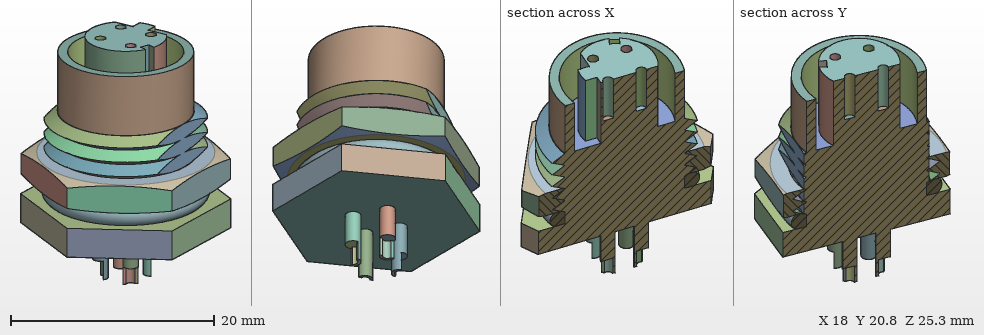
import cadquery as cq
import math

pin_shoulder_z = 1.97
flange_bottom_z = 5.31
flange_top_z = 8.37
nut_bottom_z = 10.05
nut_top_z = 13.03
thread_top_z = 17.43
sleeve_top_z = 23.68
insert_top_z = 25.3
cavity_floor_z = thread_top_z

hexagon_half_corner = 30
flange_across_flats = 18.0
nut_across_flats = 17.9
nut_chamfer_radius = 8.78
nut_chamfer_angle = math.radians(15)

sleeve_radius = 6.7
cavity_radius = 5.72
thread_crest_radius = 8.07
thread_pitch = 1.52
thread_ridges = 5
thread_flank_angle = math.radians(30)
thread_root_radius = thread_crest_radius - thread_pitch / 2 / math.tan(thread_flank_angle)
thread_flats_width = 13.48

seal_outer_radius = 8.32
seal_cord_radius = 0.99
seal_height = nut_bottom_z - flange_top_z
seal_inner_radius = sleeve_radius

insert_radius = 4.02
insert_flat_y = 2.6
key_width = 1.82
key_radius = 3.95
notch_width = 1.0
notch_floor_radius = 3.2
notch_angle = -20

contact_count = 4
contact_offset = 1.8
contact_hole_radius = 0.53
contact_hole_depth = 5.05
pin_radius = 0.78
cup_radius = 0.48
cup_wall_offset = 0.15


def cylinder(radius, bottom_z, top_z):
    return cq.Workplane("XY").workplane(offset=bottom_z).circle(radius).extrude(top_z - bottom_z)


def hexagon(across_flats, bottom_z, top_z):
    corner_diameter = across_flats / math.cos(math.radians(hexagon_half_corner))
    outline = cq.Workplane("XY").workplane(offset=bottom_z).polygon(6, corner_diameter)
    return outline.extrude(top_z - bottom_z).rotate((0, 0, 0), (0, 0, 1), hexagon_half_corner)


def thread_core():
    """Solid of revolution with the full, unflattened thread ridges."""
    bottom_z = thread_top_z - thread_ridges * thread_pitch
    profile = cq.Workplane("XZ").moveTo(0, thread_top_z).lineTo(thread_root_radius, thread_top_z)
    for ridge in range(thread_ridges):
        ridge_top_z = thread_top_z - ridge * thread_pitch
        profile = profile.lineTo(thread_crest_radius, ridge_top_z - thread_pitch / 2)
        profile = profile.lineTo(thread_root_radius, ridge_top_z - thread_pitch)
    return profile.lineTo(0, bottom_z).close().revolve(360, (0, 0, 0), (0, 1, 0))


def insert_block(center_x, center_y, size_x, size_y):
    """Rectangular block over the full height of the contact insert."""
    floor = cq.Workplane("XY").workplane(offset=cavity_floor_z).center(center_x, center_y)
    return floor.rect(size_x, size_y).extrude(insert_top_z - cavity_floor_z)


def contact_insert():
    body = cylinder(insert_radius, cavity_floor_z, insert_top_z)

    insert_diameter = 2 * insert_radius
    body = body.cut(insert_block(0, insert_flat_y + insert_radius, insert_diameter, insert_diameter))

    key = insert_block(0, key_radius / 2, key_width, key_radius)
    body = body.union(key.intersect(cylinder(key_radius, cavity_floor_z, insert_top_z)))

    notch = insert_block(notch_floor_radius + insert_radius / 2, 0, insert_radius, notch_width)
    body = body.cut(notch.rotate((0, 0, 0), (0, 0, 1), notch_angle))

    holes = cq.Workplane("XY").workplane(offset=insert_top_z - contact_hole_depth)
    holes = holes.rect(2 * contact_offset, 2 * contact_offset, forConstruction=True).vertices()
    return body.cut(holes.circle(contact_hole_radius).extrude(contact_hole_depth))


def solder_pin(angle):
    """Pin whose lower end is a half-round solder cup that opens away from the main axis."""
    pin = cylinder(pin_radius, 0, flange_bottom_z)
    opening = cq.Workplane("XY").center(pin_radius - cup_wall_offset, 0).rect(2 * pin_radius, 2 * pin_radius)
    pin = pin.cut(opening.extrude(pin_shoulder_z))
    pin = pin.cut(cylinder(cup_radius, 0, pin_shoulder_z))
    pin = pin.translate((contact_offset * math.sqrt(2), 0, 0))
    return pin.rotate((0, 0, 0), (0, 0, 1), angle)


def make_connector():
    flats = cq.Workplane("XY").rect(thread_flats_width, 2 * flange_across_flats).extrude(insert_top_z)
    body = thread_core().intersect(flats)
    body = body.union(cylinder(sleeve_radius, flange_top_z, sleeve_top_z))
    body = body.union(hexagon(flange_across_flats, flange_bottom_z, flange_top_z))
    body = body.cut(cylinder(cavity_radius, cavity_floor_z, sleeve_top_z))
    body = body.union(contact_insert())
    for index in range(contact_count):
        body = body.union(solder_pin((index + 0.5) * 360 / contact_count))
    return body


def make_nut():
    """Hexagon nut, chamfered at both ends, threaded to match the sleeve."""
    corner_radius = nut_across_flats / 2 / math.cos(math.radians(hexagon_half_corner))
    chamfer_height = (corner_radius - nut_chamfer_radius) * math.tan(nut_chamfer_angle)
    envelope = (
        cq.Workplane("XZ")
        .moveTo(0, nut_bottom_z)
        .lineTo(nut_chamfer_radius, nut_bottom_z)
        .lineTo(corner_radius, nut_bottom_z + chamfer_height)
        .lineTo(corner_radius, nut_top_z - chamfer_height)
        .lineTo(nut_chamfer_radius, nut_top_z)
        .lineTo(0, nut_top_z)
        .close()
        .revolve(360, (0, 0, 0), (0, 1, 0))
    )
    return hexagon(nut_across_flats, nut_bottom_z, nut_top_z).intersect(envelope).cut(thread_core())


def make_seal():
    cord_center_radius = seal_outer_radius - seal_cord_radius
    face_radius = cord_center_radius + math.sqrt(seal_cord_radius**2 - (seal_height / 2) ** 2)
    profile = (
        cq.Workplane("XZ")
        .moveTo(seal_inner_radius, flange_top_z)
        .lineTo(face_radius, flange_top_z)
        .threePointArc((seal_outer_radius, flange_top_z + seal_height / 2), (face_radius, nut_bottom_z))
        .lineTo(seal_inner_radius, nut_bottom_z)
        .close()
    )
    return profile.revolve(360, (0, 0, 0), (0, 1, 0)).cut(thread_core())


connector = make_connector()
nut = make_nut()
seal = make_seal()

result = cq.Compound.makeCompound([connector.val(), nut.val(), seal.val()])